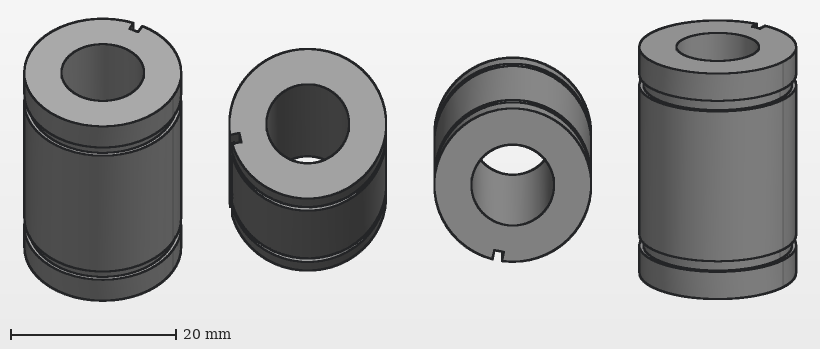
import cadquery as cq

length = 29.0
outer_diameter = 19.0
bore_diameter = 10.0

groove_diameter = 18.0
groove_width = 1.35
end_collar_length = 3.5

keyway_width = 1.15
keyway_depth = 1.15

outer_radius = outer_diameter / 2


def make_sleeve():
    """Hollow cylinder standing on the XY plane, centred on Z."""
    return (
        cq.Workplane("XY")
        .circle(outer_radius)
        .circle(bore_diameter / 2)
        .extrude(length)
    )


def make_groove(bottom):
    """Ring of material to remove for one groove."""
    return (
        cq.Workplane("XY")
        .workplane(offset=bottom)
        .circle(outer_diameter)
        .circle(groove_diameter / 2)
        .extrude(groove_width)
    )


def make_keyway():
    """Full-length bar whose inner face is the keyway floor."""
    bar_depth = 2 * keyway_depth
    return (
        cq.Workplane("XY")
        .center(0, outer_radius)
        .rect(keyway_width, bar_depth)
        .extrude(length)
    )


lower_groove = end_collar_length
upper_groove = length - end_collar_length - groove_width

result = make_sleeve()
for groove_bottom in (lower_groove, upper_groove):
    result = result.cut(make_groove(groove_bottom))
result = result.cut(make_keyway())